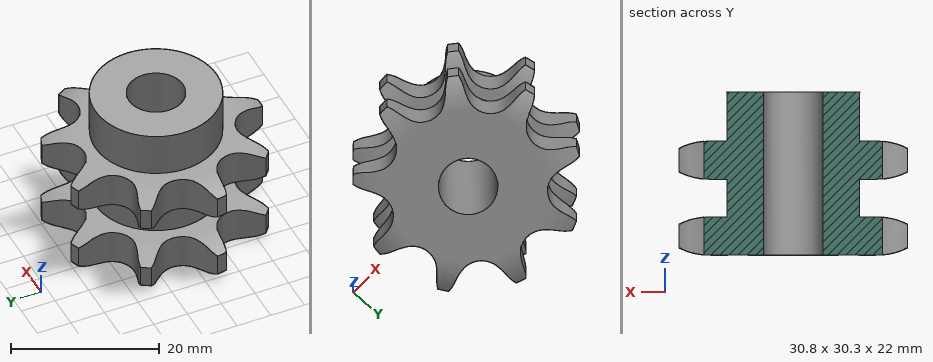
import cadquery as cq
import math


TEETH = 9
CHAIN_PITCH = 9.53
ROLLER_DIAMETER = 6.35

ROW_WIDTH = 5.2
ROW_SPACING = 10.2
OUTER_DIAMETER = 31.0
HUB_DIAMETER = 18.0
BORE_DIAMETER = 8.0
TOTAL_HEIGHT = 22.0

FLAT_FACE_RADIUS = 11.13
SIDE_ARC_RADIUS = 10.0

SEATING_RATIO = 0.5025
WORKING_CENTER_RATIO = 0.8
TOPPING_CENTER_RATIO = 1.4
SEATING_CLEARANCE = 0.037
HALF_STEP = math.radians(180 / TEETH)
SEATING_ANGLE = math.radians(35 + 60 / TEETH)
WORKING_ANGLE = math.radians(18 - 56 / TEETH)
TOPPING_ANGLE = math.radians(17 - 64 / TEETH)
WORKING_CENTER_DISTANCE = WORKING_CENTER_RATIO * ROLLER_DIAMETER
TOPPING_CENTER_DISTANCE = TOPPING_CENTER_RATIO * ROLLER_DIAMETER
SEATING_RADIUS = SEATING_RATIO * ROLLER_DIAMETER + SEATING_CLEARANCE
WORKING_RADIUS = WORKING_CENTER_DISTANCE + SEATING_RADIUS
TOPPING_RADIUS = (
    WORKING_CENTER_DISTANCE * math.cos(WORKING_ANGLE)
    + TOPPING_CENTER_DISTANCE * math.cos(TOPPING_ANGLE)
    - WORKING_RADIUS
)

PITCH_RADIUS = CHAIN_PITCH / 2 / math.sin(HALF_STEP)
OUTER_RADIUS = OUTER_DIAMETER / 2
CUT_OVERSHOOT = 0.3


def polar(center, radius, angle):
    """Point at a radius and angle (radians) about a center."""
    return (center[0] + radius * math.cos(angle), center[1] + radius * math.sin(angle))


def mirrored(point):
    """The same point on the opposite flank of a gap centered on the +Y axis."""
    return (-point[0], point[1])


def gap_cutter():
    """Prism of one tooth gap centered on the +Y axis, one row wide."""
    roller = (0, PITCH_RADIUS)
    root = (0, PITCH_RADIUS - SEATING_RADIUS)

    seating_end = polar(roller, SEATING_RADIUS, -SEATING_ANGLE)
    working_center = polar(roller, -WORKING_CENTER_DISTANCE, -SEATING_ANGLE)
    working_middle = polar(working_center, WORKING_RADIUS, WORKING_ANGLE / 2 - SEATING_ANGLE)
    flat_direction = WORKING_ANGLE - SEATING_ANGLE
    working_end = polar(working_center, WORKING_RADIUS, flat_direction)

    topping_center = polar(roller, TOPPING_CENTER_DISTANCE, -HALF_STEP)
    topping_start = polar(topping_center, -TOPPING_RADIUS, flat_direction)
    cut_radius = OUTER_RADIUS + CUT_OVERSHOOT
    tip_height = cut_radius - PITCH_RADIUS * math.cos(HALF_STEP)
    tip_angle = -HALF_STEP - math.asin(tip_height / TOPPING_RADIUS)
    tip = polar(topping_center, -TOPPING_RADIUS, tip_angle)
    topping_middle = polar(topping_center, -TOPPING_RADIUS, (flat_direction + tip_angle) / 2)

    return (
        cq.Workplane("XY")
        .moveTo(*tip)
        .threePointArc(topping_middle, topping_start)
        .lineTo(*working_end)
        .threePointArc(working_middle, seating_end)
        .threePointArc(root, mirrored(seating_end))
        .threePointArc(mirrored(working_middle), mirrored(working_end))
        .lineTo(*mirrored(topping_start))
        .threePointArc(mirrored(topping_middle), mirrored(tip))
        .lineTo(0, cut_radius + CUT_OVERSHOOT)
        .close()
        .extrude(ROW_WIDTH)
    )


def row_blank():
    """Disc with both rims rounded off, resting on Z = 0."""

    def side_drop(radius):
        """Height the tooth side has fallen from the flat face at a radius."""
        return SIDE_ARC_RADIUS - math.sqrt(SIDE_ARC_RADIUS**2 - (radius - FLAT_FACE_RADIUS) ** 2)

    middle_radius = (FLAT_FACE_RADIUS + OUTER_RADIUS) / 2
    middle_drop = side_drop(middle_radius)
    rim_drop = side_drop(OUTER_RADIUS)
    return (
        cq.Workplane("XZ")
        .lineTo(FLAT_FACE_RADIUS, 0)
        .threePointArc((middle_radius, middle_drop), (OUTER_RADIUS, rim_drop))
        .lineTo(OUTER_RADIUS, ROW_WIDTH - rim_drop)
        .threePointArc((middle_radius, ROW_WIDTH - middle_drop), (FLAT_FACE_RADIUS, ROW_WIDTH))
        .lineTo(0, ROW_WIDTH)
        .close()
        .revolve(360, (0, 0, 0), (0, 1, 0))
    )


def toothed_row():
    """One sprocket row with a gap on the +Y axis and a tooth on the -Y axis."""
    row = row_blank()
    cutter = gap_cutter()
    for index in range(TEETH):
        row = row.cut(cutter.rotate((0, 0, 0), (0, 0, 1), index * 360 / TEETH))
    return row


row = toothed_row()
hub = cq.Workplane("XY").circle(HUB_DIAMETER / 2).extrude(TOTAL_HEIGHT)
bore = cq.Workplane("XY").circle(BORE_DIAMETER / 2).extrude(TOTAL_HEIGHT)
result = hub.union(row).union(row.translate((0, 0, ROW_SPACING))).cut(bore)